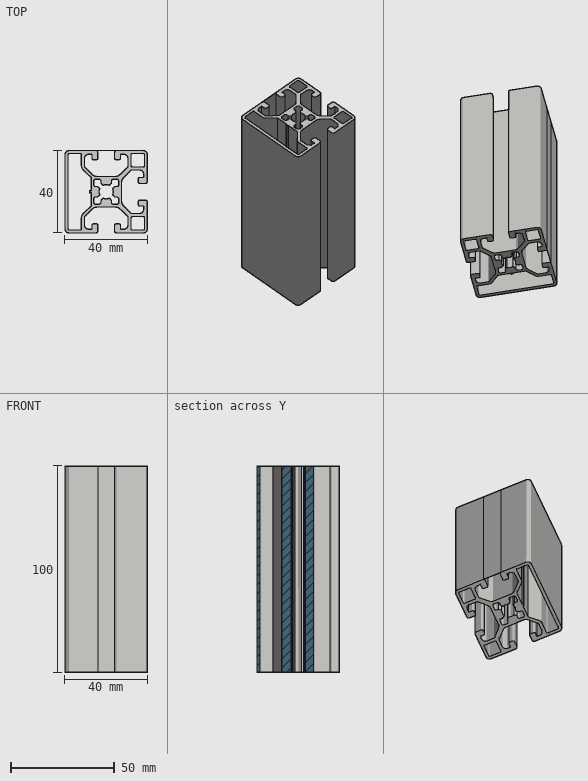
import cadquery as cq
import math

SIDE = 40.0
LENGTH = 100.0
HALF = SIDE / 2
OUTER_RADIUS = 2.0
SKIN = 1.5
CLOSED_SKIN = 1.6
WEB = 1.6

MOUTH_HALF = 4.0
LIP_WIDTH = 3.0
LIP_DEPTH = 4.5
LIP_ROOF = 1.9
LIP_OUTER_RADIUS = 1.0
LIP_INNER_RADIUS = 0.8
SLOT_HALF = 10.5
SLOT_SHOULDER = 12.1
SLOT_FLOOR = 7.5
FLOOR_HALF = 5.8
SLOT_RADIUS = 2.0
SHOULDER_RADIUS = 1.0
FLOOR_RADIUS = 3.0

COVER_THICKNESS = 0.1

CHAMBER_RADIUS = 0.5
CHAMBER_BEND_RADIUS = 3.0
CORE_WALL_FACE = 7.3
CORE_WALL_HALF = 6.9
FLANK_START = 11.4

BEAD_WIDTH = 1.0
BEAD_HEIGHT = 0.7

CORE_HALF = 6.0
CORE_RADIUS = 0.8
BORE_RADIUS = 3.4
BOSS_HALF = 2.6
BOSS_SHOULDER = 4.3
BOSS_TIP_HALF = 1.6

TOLERANCE = 1e-06


def toward(start, end, distance):
    """Point at the given distance from start along the line to end."""
    fraction = distance / math.dist(start, end)
    return tuple(a + (b - a) * fraction for a, b in zip(start, end))


def corner_arc(before, corner, after, radius):
    """Start, crown and end of the arc that rounds a corner."""
    half_angle = math.asin(math.dist(toward(corner, before, 1), toward(corner, after, 1)) / 2)
    setback = radius / math.tan(half_angle)
    start = toward(corner, before, setback)
    end = toward(corner, after, setback)
    middle = ((start[0] + end[0]) / 2, (start[1] + end[1]) / 2)
    crown = toward(corner, middle, radius / math.sin(half_angle) - radius)
    return start, crown, end


def rounded_prism(corners):
    """Full-length prism over a closed outline of (x, y, corner radius), starting at a sharp corner."""
    points = [(x, y) for x, y, radius in corners]
    following = points[1:] + points[:1]
    current = points[0]
    outline = cq.Workplane("XY").moveTo(*current)
    for i in range(1, len(corners)):
        radius = corners[i][2]
        if radius > 0:
            start, crown, end = corner_arc(points[i - 1], points[i], following[i], radius)
        else:
            start = end = points[i]
        if math.dist(current, start) > TOLERANCE:
            outline = outline.lineTo(*start)
        if radius > 0:
            outline = outline.threePointArc(crown, end)
        current = end
    return outline.close().extrude(LENGTH)


def mirrored(half_outline):
    """Close a right-hand half outline with its mirror image about the Y axis."""
    return half_outline + [(-x, y, radius) for x, y, radius in reversed(half_outline)]


def t_slot():
    """Cutter for the T-slot that opens towards +Y."""
    lip_back = MOUTH_HALF + LIP_WIDTH
    return rounded_prism(mirrored([
        (MOUTH_HALF + LIP_OUTER_RADIUS, HALF, 0),
        (MOUTH_HALF, HALF, LIP_OUTER_RADIUS),
        (MOUTH_HALF, HALF - LIP_DEPTH, LIP_INNER_RADIUS),
        (lip_back, HALF - LIP_DEPTH, LIP_INNER_RADIUS),
        (lip_back, HALF - LIP_ROOF, 0),
        (SLOT_HALF, HALF - LIP_ROOF, SLOT_RADIUS),
        (SLOT_HALF, SLOT_SHOULDER, SHOULDER_RADIUS),
        (FLOOR_HALF, SLOT_FLOOR, FLOOR_RADIUS),
    ]))


def slot_cover():
    """Thin strip flush with the +Y face, bridging both lips of that slot."""
    bridge = 2 * (MOUTH_HALF + LIP_OUTER_RADIUS)
    return (
        cq.Workplane("XY")
        .center(0, HALF - COVER_THICKNESS / 2)
        .rect(bridge, COVER_THICKNESS)
        .extrude(LENGTH)
    )


def corner_chamber(y_sign):
    """Square chamber in a corner on the +X side."""
    inner = SLOT_HALF + WEB
    size = HALF - SKIN - inner
    middle = inner + size / 2
    return (
        cq.Workplane("XY")
        .center(middle, y_sign * middle)
        .rect(size, size)
        .extrude(LENGTH)
        .edges("|Z")
        .fillet(CHAMBER_RADIUS)
    )


def side_chamber():
    """Chamber behind the closed -X face, reaching in to the core wall."""
    inner = SLOT_HALF + WEB
    upper = [
        (-CORE_WALL_FACE, CORE_WALL_HALF, 0),
        (-inner, FLANK_START, CHAMBER_BEND_RADIUS),
        (-inner, HALF - SKIN, CHAMBER_RADIUS),
        (-(HALF - CLOSED_SKIN), HALF - SKIN, CHAMBER_RADIUS),
    ]
    lower = [(x, -y, radius) for x, y, radius in reversed(upper)]
    bead = (
        cq.Workplane("XY")
        .center(-CORE_WALL_FACE, 0)
        .rect(2 * BEAD_HEIGHT, BEAD_WIDTH)
        .extrude(LENGTH)
    )
    return rounded_prism(upper + lower).cut(bead)


def core_pocket():
    """One corner pocket of the core, in the +X +Y quadrant."""
    tip = math.sqrt(BORE_RADIUS**2 - BOSS_TIP_HALF**2)
    return rounded_prism([
        (0, 0, 0),
        (BOSS_TIP_HALF, tip, 0),
        (BOSS_HALF, BOSS_SHOULDER, 0),
        (BOSS_HALF, CORE_HALF, CORE_RADIUS),
        (CORE_HALF, CORE_HALF, CORE_RADIUS),
        (CORE_HALF, BOSS_HALF, CORE_RADIUS),
        (BOSS_SHOULDER, BOSS_HALF, 0),
        (tip, BOSS_TIP_HALF, 0),
    ])


def turned(body, angle):
    """Copy of a body turned about the profile axis."""
    return body.rotate((0, 0, 0), (0, 0, 1), angle)


profile = cq.Workplane("XY").rect(SIDE, SIDE).extrude(LENGTH).edges("|Z").fillet(OUTER_RADIUS)

for angle in (0, 180, -90):
    profile = profile.cut(turned(t_slot(), angle))
profile = profile.union(slot_cover())

for y_sign in (1, -1):
    profile = profile.cut(corner_chamber(y_sign))
profile = profile.cut(side_chamber())

profile = profile.cut(cq.Workplane("XY").circle(BORE_RADIUS).extrude(LENGTH))
for angle in (0, 90, 180, 270):
    profile = profile.cut(turned(core_pocket(), angle))

result = profile